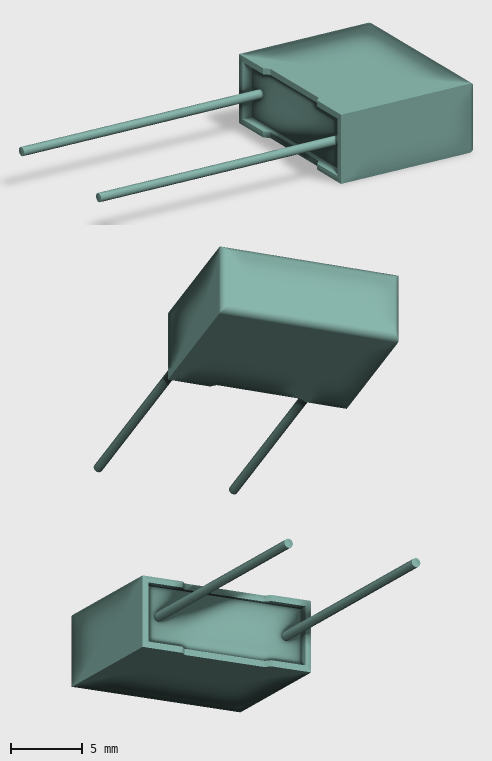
import cadquery as cq

total_length = 30.1
case_width = 13.2
case_height = 5.2
case_length = 11.1

wall = 0.45
back_fillet = 0.48
notch_mouth_width = 6.98
notch_depth = 0.35
notch_floor_width = notch_mouth_width - 2 * notch_depth

resin_recess = 0.75
cavity_width = case_width - 2 * wall
cavity_height = case_height - 2 * wall
resin_length = case_length - wall - resin_recess

lead_diameter = 0.65
lead_spacing = 10.0
lead_length = total_length - case_length + resin_recess


def block(width, length, height, front_y):
    """Box centred on X and Z that runs toward +Y from front_y."""
    return (
        cq.Workplane("XY")
        .box(width, length, height, centered=(True, False, True))
        .translate((0, front_y, 0))
    )


def make_case():
    """Cup open toward -Y, with rounded back edges and notched long lips."""
    shell = block(case_width, case_length, case_height, 0).faces(">Y").edges().fillet(back_fillet)
    cavity = block(cavity_width, case_length - wall, cavity_height, 0)
    notch = (
        cq.Workplane("XY")
        .polyline([
            (-notch_mouth_width / 2, 0),
            (-notch_floor_width / 2, notch_depth),
            (notch_floor_width / 2, notch_depth),
            (notch_mouth_width / 2, 0),
        ])
        .close()
        .extrude(case_height / 2, both=True)
    )
    return shell.cut(cavity).cut(notch)


def make_resin():
    """Block that fills the cavity behind the recess."""
    return block(cavity_width, resin_length, cavity_height, resin_recess)


def make_lead(x):
    """Round wire that runs toward -Y from the resin face."""
    return (
        cq.Workplane("XZ", origin=(x, resin_recess, 0))
        .circle(lead_diameter / 2)
        .extrude(lead_length)
    )


case = make_case()
resin = make_resin()
leads = [make_lead(side * lead_spacing / 2) for side in (-1, 1)]

result = cq.Compound.makeCompound([case.val(), resin.val(), *[lead.val() for lead in leads]])